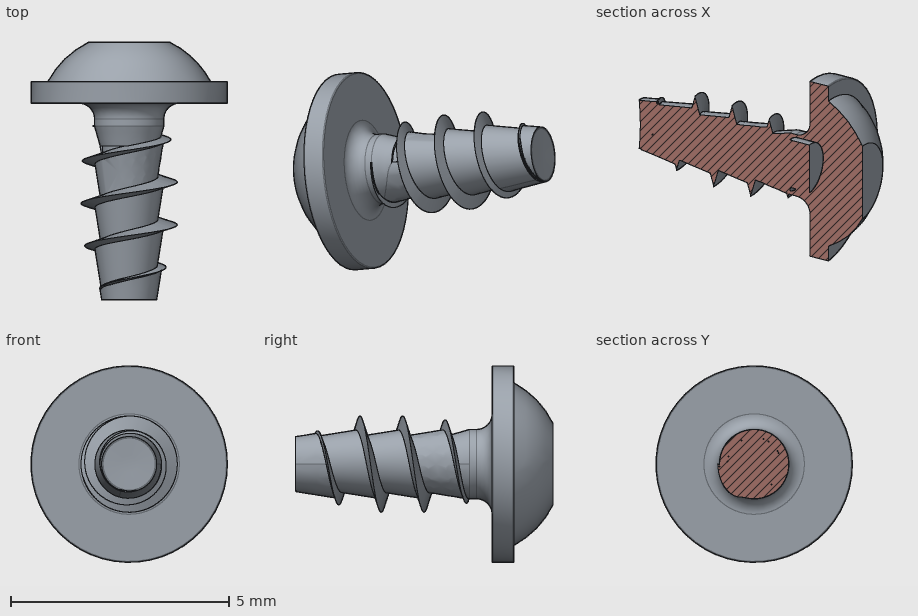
import cadquery as cq
import math

total_length = 5.9
head_height = 1.4
tip_depth = total_length - head_height

flange_radius = 4.5 / 2
flange_thickness = 0.5
flange_edge_radius = 0.025
dome_top_radius = 0.93
dome_base_radius = 1.865

shank_radius = 0.795
neck_fillet = 0.355
shank_depth = 0.52

lead_in_depth = 0.975
lead_in_radius = 0.665
tip_radius = 0.63
tip_rim = 0.035
tip_dimple_depth = 0.025
core_radius = 0.615

pitch = 0.98
first_depth = 0.58
ease_turns = 2 * (first_depth - shank_depth) / pitch
start_turn = -0.25
thread_end_turn = 3.9
ground_end_turn = 4.0
start_crest_radius = 0.84
full_crest_radius = 1.105
crest_rise_per_turn = 0.235
crest_fall_per_turn = 0.34
fall_start_turn = 2.5
flank_half_angle = math.radians(16)
thread_root_radius = 0.455
steps_per_turn = 12

ground_radius = 0.795
ground_root_radius = 0.53
ground_taper = 0.16
ground_gap = 0.035
ground_start_sink = 0.06


def arc_middle(start, end, center):
    """Point halfway along the shorter arc between two points around a center."""
    radius = math.dist(start, center)
    first = math.atan2(start[1] - center[1], start[0] - center[0])
    last = math.atan2(end[1] - center[1], end[0] - center[0])
    middle = (first + last) / 2
    return (center[0] + radius * math.cos(middle), center[1] + radius * math.sin(middle))


def head_and_shank():
    """Dome, flange, neck and shank, as one revolved solid."""
    dome_top = (dome_top_radius, head_height)
    dome_base = (dome_base_radius, flange_thickness)
    squares = [radius**2 + height**2 for radius, height in (dome_top, dome_base)]
    dome_center = (0, (squares[0] - squares[1]) / (2 * (head_height - flange_thickness)))

    neck_top = (shank_radius + neck_fillet, 0)
    neck_bottom = (shank_radius, -neck_fillet)
    neck_center = (neck_top[0], neck_bottom[1])
    neck_middle = arc_middle(neck_top, neck_bottom, neck_center)
    profile = (
        cq.Workplane("XY")
        .moveTo(0, head_height)
        .lineTo(*dome_top)
        .threePointArc(arc_middle(dome_top, dome_base, dome_center), dome_base)
        .lineTo(flange_radius, flange_thickness)
        .lineTo(flange_radius, 0)
        .lineTo(*neck_top)
        .threePointArc(neck_middle, neck_bottom)
        .lineTo(shank_radius, -shank_depth)
        .lineTo(0, -shank_depth)
        .close()
    )
    body = profile.revolve(360, (0, 0), (0, 1))
    rim = cq.selectors.RadiusNthSelector(-1)
    return body.edges("%CIRCLE").edges(rim).fillet(flange_edge_radius)


def helix_depth(turn):
    """Depth of the thread crest: flat at first, easing into the steady pitch at turn 0."""
    if turn >= 0:
        return first_depth + pitch * turn
    eased = max(turn, -ease_turns)
    return first_depth + pitch * (eased + eased**2 / (2 * ease_turns))


def helix_solid(section, end_turn):
    """Solid swept by a changing section; section(turn) lists its (axial offset, radius) corners."""
    count = round((end_turn - start_turn) * steps_per_turn)
    turns = [start_turn + (end_turn - start_turn) * i / count for i in range(count + 1)]
    sections = []
    for turn in turns:
        angle = 2 * math.pi * turn
        depth = helix_depth(turn)
        corners = [
            cq.Vector(radius * math.sin(angle), -depth - offset, -radius * math.cos(angle))
            for offset, radius in section(turn)
        ]
        sections.append(corners)
    rails = [cq.Edge.makeSpline(list(path), parameters=turns) for path in zip(*sections)]
    faces = [
        cq.Face.makeRuledSurface(rail, following)
        for rail, following in zip(rails, rails[1:] + rails[:1])
    ]
    for corners in (sections[0], sections[-1]):
        faces.append(cq.Face.makeFromWires(cq.Wire.makePolygon(corners, close=True)))
    return cq.Solid.makeSolid(cq.Shell.makeShell(faces)).fix()


def thread_section(turn):
    """Triangular ridge, growing at the start of the thread and sinking into the core at its end."""
    crest = min(
        start_crest_radius + crest_rise_per_turn * (turn - start_turn),
        full_crest_radius,
        full_crest_radius - crest_fall_per_turn * (turn - fall_start_turn),
    )
    half_width = (crest - thread_root_radius) * math.tan(flank_half_angle)
    return [(-half_width, thread_root_radius), (0, crest), (half_width, thread_root_radius)]


def ground_section(turn):
    """Tapered strip from one turn to the next; its ends are hidden inside the ridge."""
    sink = ground_start_sink * max(0, turn / start_turn)
    near = ground_gap
    far = pitch - ground_gap
    return [
        (near, ground_root_radius),
        (near, ground_radius - sink - ground_taper * near),
        (far, ground_radius - sink - ground_taper * far),
        (far, ground_root_radius),
    ]


def tip_envelope():
    """Cone that trims the last turn of the ground down to the tip."""
    ground_top_radius = tip_radius + ground_taper * tip_depth
    return (
        cq.Workplane("XY")
        .polyline([(0, 0), (ground_top_radius, 0), (tip_radius, -tip_depth), (0, -tip_depth)])
        .close()
        .revolve(360, (0, 0), (0, 1))
    )


def tip_dimple():
    """Shallow conical hollow in the tip, inside a narrow flat rim."""
    return (
        cq.Workplane("XY")
        .polyline([(0, -tip_depth), (tip_radius - tip_rim, -tip_depth), (0, tip_dimple_depth - tip_depth)])
        .close()
        .revolve(360, (0, 0), (0, 1))
    )


def core():
    """Plain cylinder inside the thread, reaching from the bearing face to the tip."""
    return cq.Workplane("XZ").circle(core_radius).extrude(tip_depth)


def lead_in():
    """Cone between the shank and the first turn."""
    return (
        cq.Workplane("XZ", origin=(0, -shank_depth, 0))
        .circle(shank_radius)
        .workplane(offset=lead_in_depth - shank_depth)
        .circle(lead_in_radius)
        .loft()
    )


ground = tip_envelope().intersect(cq.Workplane(helix_solid(ground_section, ground_end_turn)))
thread = cq.Workplane(helix_solid(thread_section, thread_end_turn))
threaded_core = core().union(thread, clean=False).union(ground, clean=False)
screw = threaded_core.union(lead_in(), clean=False).union(head_and_shank(), clean=False)
result = screw.cut(tip_dimple(), clean=False)